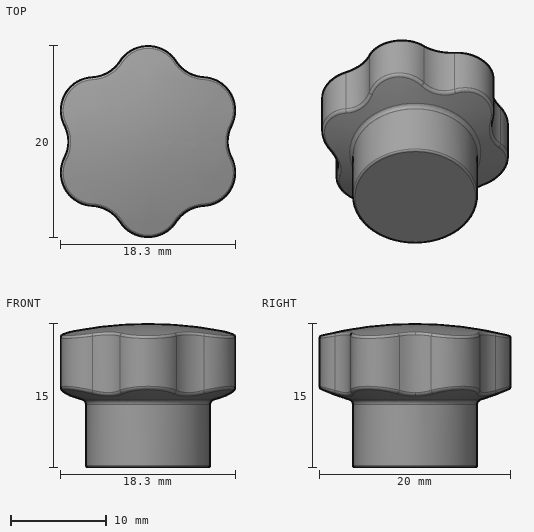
import cadquery as cq
import math

total_height = 15.0
head_radius = 10.0
lobe_count = 6
lobe_radius = 3.5
valley_radius = 3.65

top_dome_radius = 40.0
underside_dome_radius = 24.0
underside_lowest_z = 6.05

stem_radius = 6.5
stem_edge_fillet = 0.2
neck_fillet = 0.5

top_edge_fillet = 0.3
underside_edge_fillet = 0.4


def polar(radius, angle):
    return (radius * math.cos(angle), radius * math.sin(angle))


def point_towards(start, end, distance):
    """Point at the given distance from start on the line to end."""
    span = math.dist(start, end)
    return tuple(a + (b - a) * distance / span for a, b in zip(start, end))


def lobed_outline():
    """Closed outline of convex lobes joined by tangent concave valleys."""
    half_pitch = math.pi / lobe_count
    lobe_distance = head_radius - lobe_radius
    center_gap = lobe_radius + valley_radius
    half_chord = lobe_distance * math.sin(half_pitch)
    valley_distance = lobe_distance * math.cos(half_pitch) + math.sqrt(center_gap**2 - half_chord**2)

    def junction(lobe_angle, side):
        lobe_center = polar(lobe_distance, lobe_angle)
        valley_center = polar(valley_distance, lobe_angle + side * half_pitch)
        return point_towards(lobe_center, valley_center, lobe_radius)

    outline = cq.Workplane("XY").moveTo(*junction(half_pitch, -1))
    for i in range(lobe_count):
        lobe_angle = (2 * i + 1) * half_pitch
        valley_angle = lobe_angle + half_pitch
        next_lobe_angle = valley_angle + half_pitch
        outline = outline.threePointArc(polar(head_radius, lobe_angle), junction(lobe_angle, 1))
        valley_bottom = polar(valley_distance - valley_radius, valley_angle)
        outline = outline.threePointArc(valley_bottom, junction(next_lobe_angle, -1))
    return outline.close()


def make_head():
    """Lobed prism bounded by two shallow spheres, with rounded edges."""
    prism = lobed_outline().extrude(total_height)
    top_sphere = cq.Workplane("XY").sphere(top_dome_radius)
    top_sphere = top_sphere.translate((0, 0, total_height - top_dome_radius))
    underside_sphere = cq.Workplane("XY").sphere(underside_dome_radius)
    underside_sphere = underside_sphere.translate((0, 0, underside_lowest_z + underside_dome_radius))
    head = prism.intersect(top_sphere).intersect(underside_sphere)
    head = head.faces(">Z").edges().fillet(top_edge_fillet)
    return head.faces("<Z").edges().fillet(underside_edge_fillet)


def make_stem():
    """Round stem that ends inside the head, with a rounded lower rim."""
    inside_head_z = (underside_lowest_z + total_height) / 2
    stem = cq.Workplane("XY").circle(stem_radius).extrude(inside_head_z)
    return stem.faces("<Z").edges().fillet(stem_edge_fillet)


def round_neck(knob):
    """Fillet the circle where the stem meets the underside of the head."""
    sagitta = underside_dome_radius - math.sqrt(underside_dome_radius**2 - stem_radius**2)
    neck_z = underside_lowest_z + sagitta
    margin = 0.1
    neck_zone = cq.selectors.BoxSelector(
        (-stem_radius - margin, -stem_radius - margin, neck_z - margin),
        (stem_radius + margin, stem_radius + margin, neck_z + margin),
        boundingbox=True,
    )
    return knob.edges(neck_zone).fillet(neck_fillet)


result = round_neck(make_head().union(make_stem()))